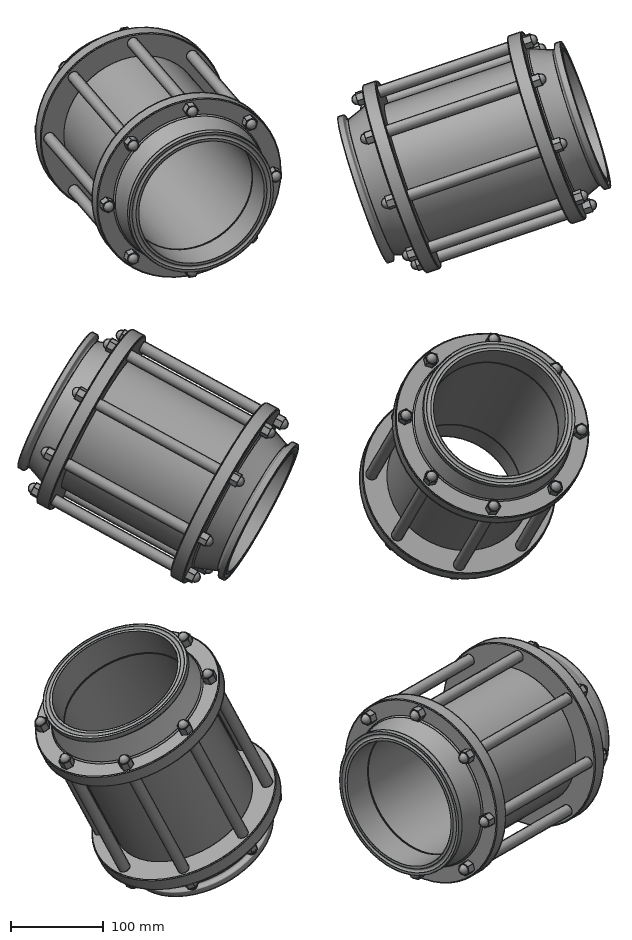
import cadquery as cq
import math

TOTAL_LENGTH = 254.0
FACE_X = -TOTAL_LENGTH / 2

BORE_RADIUS = 73.0
TUBE_OUTER_RADIUS = 80.0
SEAT_DEPTH = 34.3
END_GAP = 1.5

RIM_RADIUS = 83.5
RIM_WIDTH = 6.0
RIM_BACK_ANGLE = 20.0
RIM_EDGE_ROUND = 1.3
RIM_ROOT_ROUND = 2.3

GROOVE_RADIUS = 78.2
GROOVE_MOUTH_WIDTH = 4.5
GROOVE_BOTTOM_WIDTH = 3.0
GROOVE_FLANK_DEPTH = 0.8
GROOVE_DEPTH = 1.5

NECK_RADIUS = 77.5
CONE_START = 10.2
CONE_END = 34.3
CONE_END_RADIUS = 86.5
SHOULDER_RADIUS = 88.1

FLANGE_RADIUS = 214.0 / 2
FLANGE_START = 36.0
FLANGE_THICKNESS = 16.0
FLANGE_CHAMFER = 1.0
FLANGE_END = FLANGE_START + FLANGE_THICKNESS

ROD_COUNT = 8
ROD_CIRCLE_RADIUS = 97.0
ROD_RADIUS = 6.4
NUT_ACROSS_FLATS = 13.2
NUT_ACROSS_CORNERS = NUT_ACROSS_FLATS / math.cos(math.radians(30))
NUT_HEIGHT = 9.0
DOME_RADIUS = 5.8


def circles_at(distance, radius):
    """Selector for circular edges at a distance from the -X end face, up to the given radius."""
    margin = 0.13
    x = FACE_X + distance
    reach = radius + margin
    return cq.selectors.BoxSelector(
        (x - margin, -reach, -reach),
        (x + margin, reach, reach),
        boundingbox=True,
    )


def end_fitting():
    """Rim, neck, cone and flange of the -X end, with a bore and a counterbored tube seat."""
    back_slope = math.tan(math.radians(RIM_BACK_ANGLE))
    rim_root = RIM_WIDTH + (RIM_RADIUS - NECK_RADIUS) * back_slope
    profile = [
        (0, BORE_RADIUS),
        (0, RIM_RADIUS),
        (RIM_WIDTH, RIM_RADIUS),
        (rim_root, NECK_RADIUS),
        (CONE_START, NECK_RADIUS),
        (CONE_END, CONE_END_RADIUS),
        (FLANGE_START, SHOULDER_RADIUS),
        (FLANGE_START, FLANGE_RADIUS),
        (FLANGE_END, FLANGE_RADIUS),
        (FLANGE_END, TUBE_OUTER_RADIUS),
        (SEAT_DEPTH, TUBE_OUTER_RADIUS),
        (SEAT_DEPTH, BORE_RADIUS),
    ]
    body = (
        cq.Workplane("XY", origin=(FACE_X, 0, 0))
        .polyline(profile).close()
        .revolve(360, (0, 0, 0), (1, 0, 0))
    )

    body = body.edges(circles_at(RIM_WIDTH, RIM_RADIUS)).fillet(RIM_EDGE_ROUND)
    body = body.edges(circles_at(rim_root, NECK_RADIUS)).fillet(RIM_ROOT_ROUND)
    for distance in (FLANGE_START, FLANGE_END):
        outermost = cq.selectors.RadiusNthSelector(-1)
        flange_edge = body.edges(circles_at(distance, FLANGE_RADIUS)).edges(outermost)
        body = flange_edge.chamfer(FLANGE_CHAMFER)
    return body.cut(gasket_groove())


def gasket_groove():
    """Ring to remove from the end face for the gasket."""
    mouth = GROOVE_MOUTH_WIDTH / 2
    bottom = GROOVE_BOTTOM_WIDTH / 2
    return (
        cq.Workplane("XY", origin=(FACE_X, 0, 0))
        .moveTo(0, GROOVE_RADIUS - mouth)
        .lineTo(GROOVE_FLANK_DEPTH, GROOVE_RADIUS - bottom)
        .threePointArc(
            (GROOVE_DEPTH, GROOVE_RADIUS),
            (GROOVE_FLANK_DEPTH, GROOVE_RADIUS + bottom),
        )
        .lineTo(0, GROOVE_RADIUS + mouth)
        .close()
        .revolve(360, (0, 0, 0), (1, 0, 0))
    )


def dome_nut():
    """Nut on the outside of the -X flange, at the top of the rod circle, flats facing outward."""
    flange_x = FACE_X + FLANGE_START
    hexagon = (
        cq.Workplane("YZ", origin=(flange_x, 0, ROD_CIRCLE_RADIUS))
        .polygon(6, NUT_ACROSS_CORNERS)
        .extrude(-NUT_HEIGHT)
    )
    dome = cq.Workplane("XY").sphere(DOME_RADIUS)
    return hexagon.union(dome.translate((flange_x - NUT_HEIGHT, 0, ROD_CIRCLE_RADIUS)))


def tie_rod():
    """Rod at the top of the rod circle, running from flange to flange, with a nut on each end."""
    flange_x = FACE_X + FLANGE_START
    rod = (
        cq.Workplane("YZ", origin=(flange_x, 0, ROD_CIRCLE_RADIUS))
        .circle(ROD_RADIUS)
        .extrude(-2 * flange_x)
    )
    nut = dome_nut()
    return rod.union(nut).union(nut.mirror("YZ"))


def make_frame():
    """Both end fittings joined by the ring of tie rods."""
    fitting = end_fitting()
    rod = tie_rod()
    frame = fitting
    spacing = 360 / ROD_COUNT
    for index in range(ROD_COUNT):
        frame = frame.union(rod.rotate((0, 0, 0), (1, 0, 0), index * spacing))
    return frame.union(fitting.mirror("YZ"))


def make_sight_tube():
    """Plain tube held between the two seats."""
    start_x = FACE_X + SEAT_DEPTH + END_GAP
    return (
        cq.Workplane("YZ", origin=(start_x, 0, 0))
        .circle(TUBE_OUTER_RADIUS)
        .circle(BORE_RADIUS)
        .extrude(-2 * start_x)
    )


frame = make_frame()
sight_tube = make_sight_tube()
result = cq.Compound.makeCompound([frame.val(), sight_tube.val()])